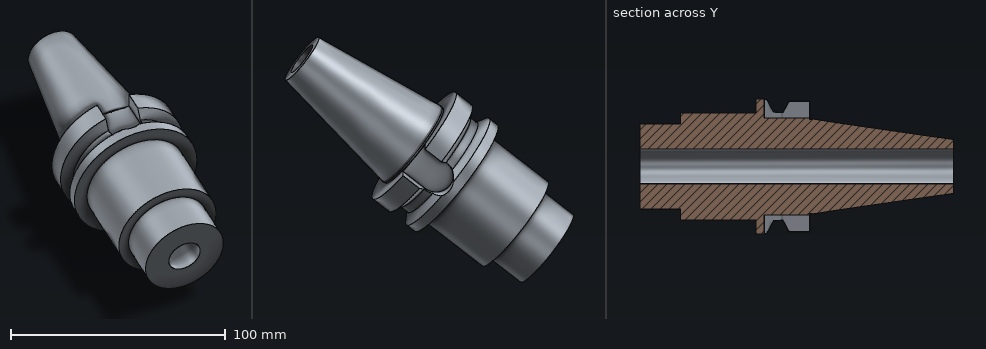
import cadquery as cq

taper_end = 65.4
neck_start = 66.1
flange_start = 67.0
front_rim_end = 76.8
groove_floor_start = 79.6
groove_floor_end = 84.0
rear_rim_start = 87.0
flange_end = 92.2
body_end = 127.5
total_length = 146.3

taper_ratio = 7 / 24
gauge_radius = 22.2
small_end_radius = gauge_radius - taper_end * taper_ratio / 2
neck_radius = 22.1
flange_diameter = 63.0
flange_radius = flange_diameter / 2
groove_radius = 26.5
body_radius = 25.0
nose_radius = 20.0
bore_radius = 8.0

slot_width = 16.4
slot_floor = 22.7
slot_end = 88.2


def make_shank():
    """Revolve the stepped outer profile about the X axis."""
    profile = [
        (0, 0),
        (0, small_end_radius),
        (taper_end, gauge_radius),
        (neck_start, gauge_radius),
        (neck_start, neck_radius),
        (flange_start, neck_radius),
        (flange_start, flange_radius),
        (front_rim_end, flange_radius),
        (groove_floor_start, groove_radius),
        (groove_floor_end, groove_radius),
        (rear_rim_start, flange_radius),
        (flange_end, flange_radius),
        (flange_end, body_radius),
        (body_end, body_radius),
        (body_end, nose_radius),
        (total_length, nose_radius),
        (total_length, 0),
    ]
    return cq.Workplane("XY").polyline(profile).close().revolve(360, (0, 0, 0), (1, 0, 0))


def make_drive_slot():
    """Cutter for the upper slot: open at the flange face, round at its end."""
    half_width = slot_width / 2
    arc_start = slot_end - half_width
    return (
        cq.Workplane("XY", origin=(0, 0, slot_floor))
        .moveTo(flange_start, -half_width)
        .lineTo(arc_start, -half_width)
        .threePointArc((slot_end, 0), (arc_start, half_width))
        .lineTo(flange_start, half_width)
        .close()
        .extrude(flange_radius - slot_floor)
    )


bore = cq.Workplane("YZ").circle(bore_radius).extrude(total_length)
upper_slot = make_drive_slot()
lower_slot = upper_slot.mirror("XY")

result = make_shank().cut(bore).cut(upper_slot).cut(lower_slot)